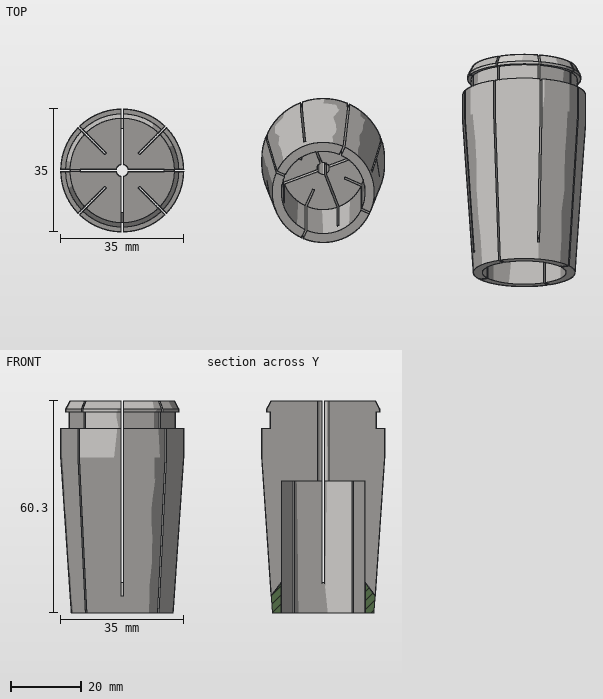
import cadquery as cq

total_height = 60.32
taper_height = 44.1
shoulder_height = 52.5
rim_bottom = 57.15
rim_chamfer_bottom = 57.95

bottom_radius = 14.5
body_radius = 17.5
neck_radius = 15.1
rim_radius = 16.1
top_radius = 14.85

bore_radius = 1.7
cavity_radius = 11.9
cavity_height = 37.5

slot_width = 0.6
slot_clearance = 5.0
cutter_reach = body_radius + slot_clearance
cross_slot_angles = (0, 90)
cross_slot_outer_floor = 4.9
cross_slot_inner_floor = 8.75
diagonal_slot_angles = (45, 135, 225, 315)
diagonal_slot_inner_radius = 6.7


def make_body():
    """Solid of revolution: tapered body, cylindrical shoulder, neck and chamfered rim."""
    return (
        cq.Workplane("XZ")
        .moveTo(0, 0)
        .lineTo(bottom_radius, 0)
        .lineTo(body_radius, taper_height)
        .lineTo(body_radius, shoulder_height)
        .lineTo(neck_radius, shoulder_height)
        .lineTo(neck_radius, rim_bottom)
        .lineTo(rim_radius, rim_bottom)
        .lineTo(rim_radius, rim_chamfer_bottom)
        .lineTo(top_radius, total_height)
        .lineTo(0, total_height)
        .close()
        .revolve(360, (0, 0, 0), (0, 1, 0))
    )


def make_bore():
    """Narrow through bore joined to the wide cavity that opens at the small end."""
    narrow_bore = cq.Workplane("XY").circle(bore_radius).extrude(total_height)
    cavity = cq.Workplane("XY").circle(cavity_radius).extrude(cavity_height)
    return narrow_bore.union(cavity)


def make_cross_slot(angle):
    """Slot right across the collet, open at the top, with floors that fall outwards."""
    outer_floor_radius = (
        bottom_radius + (body_radius - bottom_radius) * cross_slot_outer_floor / taper_height
    )
    floor_rise = cross_slot_inner_floor - cross_slot_outer_floor
    floor_slope = floor_rise / (outer_floor_radius - cavity_radius)
    reach_floor = cross_slot_outer_floor - floor_slope * (cutter_reach - outer_floor_radius)
    return (
        cq.Workplane("XZ")
        .moveTo(-cavity_radius, cross_slot_inner_floor)
        .lineTo(cavity_radius, cross_slot_inner_floor)
        .lineTo(cutter_reach, reach_floor)
        .lineTo(cutter_reach, total_height)
        .lineTo(-cutter_reach, total_height)
        .lineTo(-cutter_reach, reach_floor)
        .close()
        .extrude(slot_width / 2, both=True)
        .rotate((0, 0, 0), (0, 0, 1), angle)
    )


def make_diagonal_slot(angle):
    """Full-height slot from the outside in to the solid core of the head."""
    slot_length = cutter_reach - diagonal_slot_inner_radius
    return (
        cq.Workplane("XY")
        .box(slot_length, slot_width, total_height, centered=(False, True, False))
        .translate((diagonal_slot_inner_radius, 0, 0))
        .rotate((0, 0, 0), (0, 0, 1), angle)
    )


result = make_body().cut(make_bore())
for slot_angle in cross_slot_angles:
    result = result.cut(make_cross_slot(slot_angle))
for slot_angle in diagonal_slot_angles:
    result = result.cut(make_diagonal_slot(slot_angle))